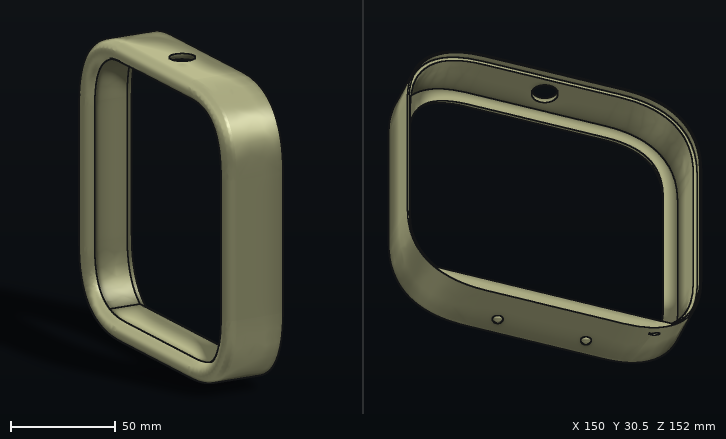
import cadquery as cq
import math

ring_size = 150.0
ring_depth = 30.5
straight_length = 70.2
corner_fullness = 0.65

rim_width = 10.2
wall_thickness = 2.9
floor_height = 9.5
rebate_step = 2.0
rebate_depth = 3.6

top_hole_diameter = 12.6
top_hole_from_back = 13.5

foot_spacing = 45.0
foot_diameter = 5.2
foot_height = 2.0
foot_from_back = 17.6

pin_hole_diameter = 1.7
pin_hole_from_back = 5.0
pin_hole_height = 3.0
pin_hole_end_x = -50.2

half_size = ring_size / 2
half_straight = straight_length / 2
rim_radius = rim_width / 2
corner_reach = half_size - half_straight


def inset_fullness(inset):
    """Curve fullness that keeps the corner's middle at the given inset from the outside."""
    outer_middle = corner_reach * (4 + 3 * corner_fullness) / 8
    inner_middle = outer_middle - inset / math.sqrt(2)
    return (8 * inner_middle / (corner_reach - inset) - 4) / 3


def ring_outline(inset):
    """Closed outline of the ring, moved inward by inset."""
    side = half_size - inset
    handle_end = half_straight + inset_fullness(inset) * (side - half_straight)
    outline = cq.Workplane("XZ").moveTo(-half_straight, side)
    for along, out in [((1, 0), (0, 1)), ((0, -1), (1, 0)), ((-1, 0), (0, -1)), ((0, 1), (-1, 0))]:

        def place(distance_along, distance_out):
            return (
                distance_along * along[0] + distance_out * out[0],
                distance_along * along[1] + distance_out * out[1],
            )

        corner_curve = [
            place(half_straight, side),
            place(handle_end, side),
            place(side, handle_end),
            place(side, half_straight),
        ]
        outline = outline.lineTo(*corner_curve[0]).bezier(corner_curve)
    return outline.wire()


def ring_solid(inset, start, end):
    """Filled ring outline between two depths."""
    return ring_outline(inset).extrude(start - end).translate((0, start, 0))


def make_opening(widening, start, end):
    """Inside of the band, flat along the floor, made wider all round by widening."""
    opening = ring_solid(wall_thickness - widening, start, end)
    floor_level = floor_height - widening - half_size
    above_floor = cq.Workplane("XY", origin=(0, 0, floor_level))
    limit = above_floor.rect(2 * ring_size, 2 * ring_size).extrude(ring_size)
    return opening.intersect(limit)


def make_band():
    """Band with a rebate around its back edge."""
    band = ring_solid(0, rim_radius, ring_depth)
    opening = make_opening(0, rim_radius, ring_depth)
    rebate = make_opening(rebate_step, ring_depth - rebate_depth, ring_depth)
    return band.cut(opening).cut(rebate)


def make_front_rim():
    """Half-round rim with a flat back against the band."""
    path = ring_outline(0).translate((0, rim_radius, 0))
    profile_start = (-half_straight, rim_radius, half_size)
    profile = (
        cq.Workplane("YZ", origin=profile_start)
        .threePointArc((-rim_radius, -rim_radius), (0, -rim_width))
        .close()
    )
    return profile.sweep(path)


def make_foot(x):
    """Domed foot that grows out of the underside."""
    dome_radius = ((foot_diameter / 2) ** 2 + foot_height**2) / (2 * foot_height)
    dome_center = (x, ring_depth - foot_from_back, dome_radius - half_size - foot_height)
    dome = cq.Workplane("XY").sphere(dome_radius).translate(dome_center)
    inside_wall = cq.Workplane("XY", origin=(x, dome_center[1], wall_thickness / 2 - half_size))
    limit = inside_wall.rect(2 * foot_diameter, 2 * foot_diameter).extrude(-wall_thickness - foot_height)
    return dome.intersect(limit)


def make_top_hole():
    start = (0, ring_depth - top_hole_from_back, 0)
    return cq.Workplane("XY", origin=start).circle(top_hole_diameter / 2).extrude(half_size)


def make_pin_hole():
    """Small blind hole along X, low on the left lower corner."""
    center = (-half_size, ring_depth - pin_hole_from_back, pin_hole_height - half_size)
    return (
        cq.Workplane("YZ", origin=center)
        .circle(pin_hole_diameter / 2)
        .extrude(pin_hole_end_x + half_size)
    )


result = make_band().union(make_front_rim())
for foot_x in (-foot_spacing / 2, foot_spacing / 2):
    result = result.union(make_foot(foot_x))
result = result.cut(make_top_hole()).cut(make_pin_hole())